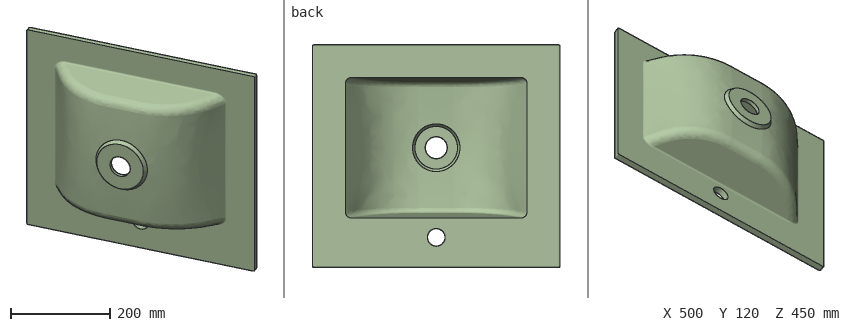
import cadquery as cq
import math

plate_width = 500
plate_height = 450
plate_thickness = 14.0
plate_edge_radius = 3.0

bowl_center_z = 17.0
bowl_half_width = 187.0
bowl_half_height = 150
bowl_depth = 99.0
floor_rise = 8.0
floor_half_width = 36.5
end_wall_draft = math.radians(6.3)
wall = 8.0
bowl_edge_radius = 19.5
bowl_root_radius = 3.5

middle_wall_run = 0.21
middle_wall_drop = 0.47
end_wall_run = 0.05
end_wall_drop = 0.16

drain_face_y = -120
drain_face_radius = 51.0
drain_root_radius = 59.5
drain_root_y = drain_face_y + 13.0
drain_hole_radius = 22.0
tap_hole_radius = 17.5
tap_z = -164.0


def section(z, base_y, half_width, depth, wall_run, wall_drop):
    """Cross section of the bowl: straight side walls, arcs, flat floor."""
    floor_y = base_y - depth
    wall_x = half_width * (1 - wall_run)
    wall_y = base_y - depth * wall_drop
    run = wall_x - floor_half_width
    rise = wall_y - floor_y
    radius = (run**2 + rise**2) / (2 * rise)
    half_sweep = math.atan2(rise, run)
    mid_x = floor_half_width + radius * math.sin(half_sweep)
    mid_y = floor_y + radius * (1 - math.cos(half_sweep))
    outline = (
        cq.Workplane("XY", origin=(0, 0, z))
        .moveTo(half_width, base_y)
        .lineTo(wall_x, wall_y)
        .threePointArc((mid_x, mid_y), (floor_half_width, floor_y))
        .lineTo(-floor_half_width, floor_y)
        .threePointArc((-mid_x, mid_y), (-wall_x, wall_y))
        .lineTo(-half_width, base_y)
        .close()
    )
    return outline.val()


def bowl(base_y, half_width, half_height, depth, edge_radius):
    """Solid bowl with its open side on base_y and its edges rounded."""
    end_depth = depth - floor_rise
    end_shape = (base_y, half_width, end_depth, end_wall_run, end_wall_drop)
    middle_shape = (base_y, half_width, depth, middle_wall_run, middle_wall_drop)
    barrel = cq.Solid.makeLoft([
        section(bowl_center_z - half_height, *end_shape),
        section(bowl_center_z, *middle_shape),
        section(bowl_center_z + half_height, *end_shape),
    ])
    tip_half_height = half_height - depth * math.tan(end_wall_draft)
    wedge = (
        cq.Workplane("YZ", origin=(0, 0, bowl_center_z))
        .moveTo(base_y, half_height)
        .lineTo(base_y - depth, tip_half_height)
        .lineTo(base_y - depth, -tip_half_height)
        .lineTo(base_y, -half_height)
        .close()
        .extrude(half_width, both=True)
    )
    body = cq.Workplane(barrel).intersect(wedge)
    end_edges = body.faces("<Z or >Z").edges("not(>Y)")
    return end_edges.fillet(edge_radius)


def drain_cone(face_y, face_radius, root_y, root_radius):
    """Tapered disc around the drain, narrowing toward -Y."""
    cone = cq.Solid.makeCone(
        face_radius, root_radius, root_y - face_y,
        cq.Vector(0, face_y, bowl_center_z), cq.Vector(0, 1, 0),
    )
    return cq.Workplane(cone)


def through_hole(z, radius):
    length = -drain_face_y
    return cq.Workplane("XZ", origin=(0, 0, z)).circle(radius).extrude(length)


plate = (
    cq.Workplane("XY")
    .box(plate_width, plate_thickness, plate_height)
    .translate((0, -plate_thickness / 2, 0))
    .edges("|Y or >Y").fillet(plate_edge_radius)
)

outer_bowl = bowl(-plate_thickness, bowl_half_width, bowl_half_height, bowl_depth, bowl_edge_radius)
body = plate.union(outer_bowl)
root_edges = cq.selectors.BoxSelector(
    (-bowl_half_width - 5, -plate_thickness - 0.05, bowl_center_z - bowl_half_height - 5),
    (bowl_half_width + 5, -plate_thickness + 0.05, bowl_center_z + bowl_half_height + 5),
    boundingbox=True,
)
body = body.edges(root_edges).fillet(bowl_root_radius)
body = body.union(drain_cone(drain_face_y, drain_face_radius, drain_root_y, drain_root_radius))

inner_depth = bowl_depth + plate_thickness - wall
cavity = bowl(0, bowl_half_width - wall / 2, bowl_half_height - wall, inner_depth, bowl_edge_radius - wall)
drain_recess = drain_cone(
    drain_face_y + wall, drain_face_radius - wall, drain_root_y + wall, drain_root_radius - wall
)

result = (
    body.cut(cavity)
    .cut(drain_recess)
    .cut(through_hole(bowl_center_z, drain_hole_radius))
    .cut(through_hole(tap_z, tap_hole_radius))
)